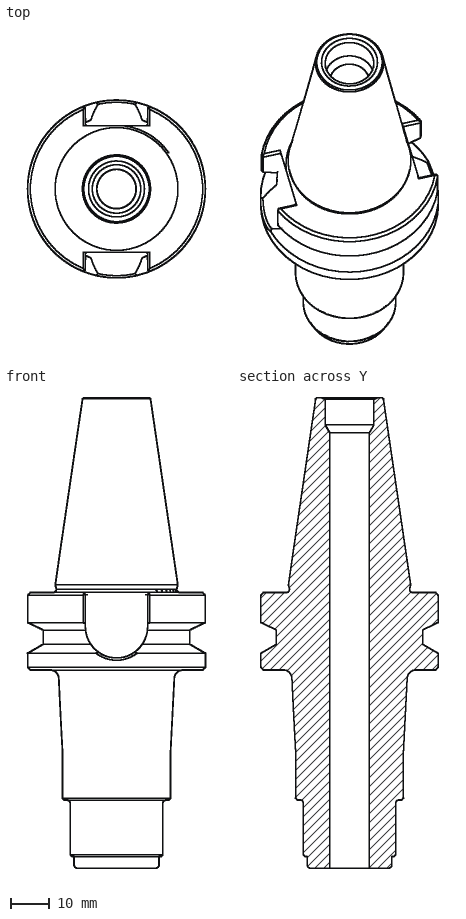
import cadquery as cq
import math

total_height = 121.7
pilot_top = 3.0
barrel_bottom = 17.6
barrel_top = 29.9
flange_bottom = 51.2
lower_rim_top = 55.6
groove_bottom = 57.9
groove_top = 61.6
upper_rim_bottom = 63.5
flange_top = 71.3
gauge_height = 73.3

pilot_diameter = 22.0
sleeve_diameter = 24.0
barrel_diameter = 28.0
shank_diameter = 29.9
flange_diameter = 46.0
groove_diameter = 38.0
neck_diameter = 31.2
gauge_diameter = 31.8
taper_ratio = 7 / 24

flange_chamfer = 0.7
pilot_fillet = 1.0
sleeve_chamfer = 0.5
step_fillet = 0.9
neck_fillet = 0.9
tip_chamfer = 0.4
step_chamfer = 0.5
shank_fillet = 2.2

bore_diameter = 10.1
recess_diameter = 12.5
recess_mouth_diameter = 14.5
recess_mouth_depth = 0.5
recess_depth = 7.0
recess_floor_angle = 30.0

slot_width = 16.1
slot_bottom = 54.4
slot_floor_distance = 16.3
slot_floor_fillet = 0.5
slot_chamfer = 0.6
cut_margin = 1.2
lip_chamfer = 0.6


def turned_body():
    """Revolve the outside of the holder from the nose to the taper tip."""
    pilot_radius = pilot_diameter / 2
    sleeve_radius = sleeve_diameter / 2
    barrel_radius = barrel_diameter / 2
    shank_radius = shank_diameter / 2
    flange_radius = flange_diameter / 2
    groove_radius = groove_diameter / 2
    neck_radius = neck_diameter / 2
    gauge_radius = gauge_diameter / 2
    tip_radius = gauge_radius - (total_height - gauge_height) * taper_ratio / 2
    outline = (
        cq.Workplane("XZ")
        .lineTo(pilot_radius - pilot_fillet, 0)
        .radiusArc((pilot_radius, pilot_fillet), -pilot_fillet)
        .lineTo(pilot_radius, pilot_top)
        .lineTo(sleeve_radius - sleeve_chamfer, pilot_top)
        .lineTo(sleeve_radius, pilot_top + sleeve_chamfer)
        .lineTo(sleeve_radius, barrel_bottom - step_fillet)
        .radiusArc((sleeve_radius + step_fillet, barrel_bottom), step_fillet)
        .lineTo(barrel_radius - step_chamfer, barrel_bottom)
        .lineTo(barrel_radius, barrel_bottom + step_chamfer)
        .lineTo(barrel_radius, barrel_top)
        .lineTo(shank_radius, flange_bottom - shank_fillet)
        .radiusArc((shank_radius + shank_fillet, flange_bottom), shank_fillet)
        .lineTo(flange_radius - flange_chamfer, flange_bottom)
        .lineTo(flange_radius, flange_bottom + flange_chamfer)
        .lineTo(flange_radius, lower_rim_top)
        .lineTo(groove_radius, groove_bottom)
        .lineTo(groove_radius, groove_top)
        .lineTo(flange_radius, upper_rim_bottom)
        .lineTo(flange_radius, flange_top - flange_chamfer)
        .lineTo(flange_radius - flange_chamfer, flange_top)
        .lineTo(neck_radius + neck_fillet, flange_top)
        .radiusArc((neck_radius, flange_top + neck_fillet), neck_fillet)
        .lineTo(gauge_radius, gauge_height)
        .lineTo(tip_radius, total_height - tip_chamfer)
        .lineTo(tip_radius - tip_chamfer, total_height)
        .lineTo(0, total_height)
        .close()
    )
    return outline.revolve(360, (0, 0), (0, 1))


def bore_cutter():
    """Through bore, opening through a cone into a countersunk recess at the top."""
    bore_radius = bore_diameter / 2
    recess_radius = recess_diameter / 2
    mouth_radius = recess_mouth_diameter / 2
    recess_floor = total_height - recess_depth
    cone_height = (recess_radius - bore_radius) / math.tan(math.radians(recess_floor_angle))
    return (
        cq.Workplane("XZ")
        .lineTo(bore_radius, 0)
        .lineTo(bore_radius, recess_floor - cone_height)
        .lineTo(recess_radius, recess_floor)
        .lineTo(recess_radius, total_height - recess_mouth_depth)
        .lineTo(mouth_radius, total_height)
        .lineTo(0, total_height)
        .close()
        .revolve(360, (0, 0), (0, 1))
    )


def slot_cutter():
    """Round-bottomed drive slot on the -Y side, with its chamfered mouth."""
    half_width = slot_width / 2
    outer_half_width = half_width + slot_chamfer
    arc_center = slot_bottom + half_width
    flange_radius = flange_diameter / 2
    slot_length = flange_radius - slot_floor_distance + cut_margin

    slot = (
        cq.Workplane("XZ", origin=(0, -slot_floor_distance, 0))
        .moveTo(-half_width, flange_top + cut_margin)
        .lineTo(-half_width, arc_center)
        .threePointArc((0, slot_bottom), (half_width, arc_center))
        .lineTo(half_width, flange_top + cut_margin)
        .close()
        .extrude(slot_length)
        .edges(">Y and (not >Z)")
        .fillet(slot_floor_fillet)
    )

    top_chamfer = (
        cq.Workplane("XZ", origin=(0, -slot_floor_distance, 0))
        .moveTo(-half_width, flange_top - slot_chamfer)
        .lineTo(-outer_half_width, flange_top)
        .lineTo(outer_half_width, flange_top)
        .lineTo(half_width, flange_top - slot_chamfer)
        .close()
        .extrude(slot_length)
    )

    wall_end = math.sqrt(flange_radius**2 - half_width**2) - slot_chamfer
    rim_start = math.sqrt(flange_radius**2 - outer_half_width**2)
    rim_chamfer = (
        cq.Workplane("XY", origin=(0, 0, arc_center))
        .moveTo(-half_width, -wall_end)
        .lineTo(-outer_half_width, -rim_start)
        .lineTo(-outer_half_width, -flange_radius)
        .lineTo(outer_half_width, -flange_radius)
        .lineTo(outer_half_width, -rim_start)
        .lineTo(half_width, -wall_end)
        .close()
        .extrude(flange_top - arc_center)
    )
    return slot.union(top_chamfer).union(rim_chamfer)


result = turned_body().cut(bore_cutter())
drive_slot = slot_cutter()
for angle in (0, 180):
    result = result.cut(drive_slot.rotate((0, 0, 0), (0, 0, 1), angle))

for side in (-1, 1):
    lip_center = (0, side * flange_diameter / 2, slot_bottom)
    result = result.edges(cq.selectors.NearestToPointSelector(lip_center)).chamfer(lip_chamfer)